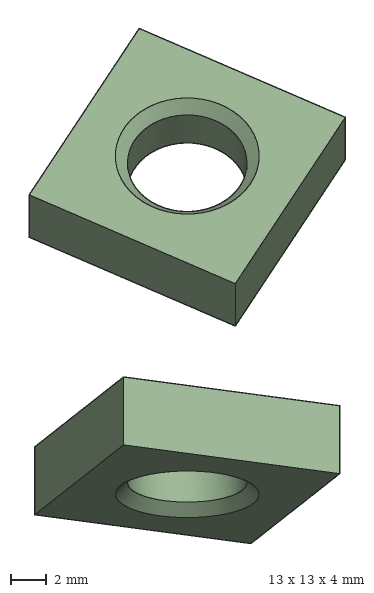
import cadquery as cq
import math

side = 13.0
thickness = 4.0
bore_diameter = 6.647
countersink_diameter = 8.0
countersink_angle = 90.0

countersink_depth = (countersink_diameter - bore_diameter) / 2 / math.tan(math.radians(countersink_angle / 2))


def make_blank():
    """Plain square plate."""
    return cq.Workplane("XY").rect(side, side).extrude(thickness)


def make_bore():
    """Through bore with a conical countersink at both ends, revolved about Z."""
    bore_radius = bore_diameter / 2
    mouth_radius = countersink_diameter / 2
    return (
        cq.Workplane("XZ")
        .moveTo(0, 0)
        .lineTo(mouth_radius, 0)
        .lineTo(bore_radius, countersink_depth)
        .lineTo(bore_radius, thickness - countersink_depth)
        .lineTo(mouth_radius, thickness)
        .lineTo(0, thickness)
        .close()
        .revolve(360, (0, 0), (0, 1))
    )


result = make_blank().cut(make_bore())